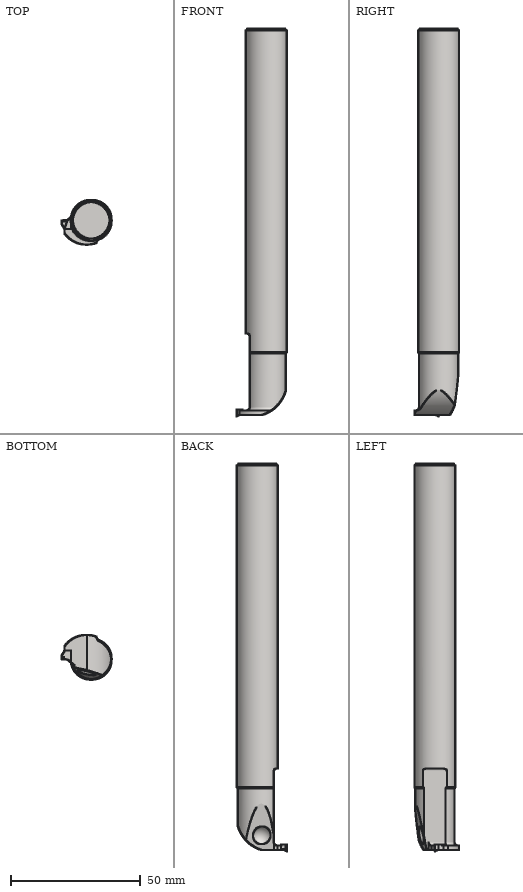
import cadquery as cq
import math

TOTAL_LENGTH = 150.0
SHANK_RADIUS = 8.0
END_CHAMFER = 0.9
NECK_RADIUS = 7.6
NECK_TOP = 24.3
NECK_CONE_HEIGHT = 0.6

FLAT_X = -6.5
FLAT_TOP = 31.0
RUNOUT_RADIUS = 0.9

HOLDER_BOTTOM = 0.5
FLANGE_TOP = 2.2
FLANGE_RADIUS = 10.5
FLANGE_CENTRE = (-1.8, 1.0)
FLANGE_SIDE_X = -10.4
NECK_FILLET = 1.2

BELLY_RADIUS = 13.8
BELLY_CENTRE = (-5.7, 13.6)

RELIEF_NORMAL = (-1.2, 5.5, -1.0)
RELIEF_POINT = (0.0, 4.5, 0.0)

SCOOP_RADIUS = 3.9
SCOOP_CENTRE = (-2.1, 6.9, 5.8)

TIP_X = -11.4
RAKE_END = (-9.2, 0.2)
GULLET_ANGLE = 40.0
INSERT_BACK_X = -7.8
INSERT_END_Y = -3.3
INSERT_SIDE_X = -10.4
TIP_LAND = 1.5
EDGE_TOP = 2.7
LAND_TOP = 2.5
CORNER_RELIEF = 0.9
BREAKER_RADIUS = 1.0
BREAKER_CENTRE = (-10.0, 0.6)
BREAKER_FLOOR = 0.9

FOOT_TOP = FLANGE_TOP + NECK_FILLET
GULLET_SLOPE = math.tan(math.radians(GULLET_ANGLE))
REACH = 6 * SHANK_RADIUS


def gullet_y(x):
    """Y of the flange wall behind the rake face."""
    return RAKE_END[1] + (x - RAKE_END[0]) * GULLET_SLOPE


def prism(points, bottom, top):
    """Upright prism over a polygon in XY."""
    return cq.Workplane("XY").workplane(offset=bottom).polyline(points).close().extrude(top - bottom)


def make_bar():
    """Shank, cone and neck turned about Z."""
    outline = [
        (0, HOLDER_BOTTOM),
        (NECK_RADIUS, HOLDER_BOTTOM),
        (NECK_RADIUS, NECK_TOP),
        (SHANK_RADIUS, NECK_TOP + NECK_CONE_HEIGHT),
        (SHANK_RADIUS, TOTAL_LENGTH - END_CHAMFER),
        (SHANK_RADIUS - END_CHAMFER, TOTAL_LENGTH),
        (0, TOTAL_LENGTH),
    ]
    return cq.Workplane("XZ").polyline(outline).close().revolve(360, (0, 0), (0, 1))


def make_flat_cutter():
    """Removes the -X side of the bar up to the level step."""
    profile = (
        cq.Workplane("XZ")
        .moveTo(FLAT_X, HOLDER_BOTTOM)
        .lineTo(FLAT_X, FLAT_TOP)
        .radiusArc((FLAT_X - RUNOUT_RADIUS, FLAT_TOP + RUNOUT_RADIUS), -RUNOUT_RADIUS)
        .lineTo(-REACH, FLAT_TOP + RUNOUT_RADIUS)
        .lineTo(-REACH, HOLDER_BOTTOM)
        .close()
    )
    return profile.extrude(REACH, both=True)


def make_foot():
    """Flange with the fillet that leads up into the neck."""
    disc = cq.Workplane("XY").workplane(offset=HOLDER_BOTTOM).circle(REACH).extrude(FLANGE_TOP - HOLDER_BOTTOM)
    stub = cq.Workplane("XY").workplane(offset=HOLDER_BOTTOM).circle(NECK_RADIUS)
    stub = stub.extrude(FOOT_TOP + NECK_FILLET - HOLDER_BOTTOM).cut(make_flat_cutter())
    filleted = disc.union(stub)
    foot_edges = cq.selectors.BoxSelector(
        (-SHANK_RADIUS, -SHANK_RADIUS, FLANGE_TOP - NECK_FILLET / 2),
        (SHANK_RADIUS, SHANK_RADIUS, FLANGE_TOP + NECK_FILLET / 2),
    )
    filleted = filleted.edges(foot_edges).fillet(NECK_FILLET)
    outline = cq.Workplane("XY").center(*FLANGE_CENTRE).circle(FLANGE_RADIUS).extrude(FOOT_TOP)
    side = prism(
        [(FLANGE_SIDE_X, -REACH), (FLANGE_SIDE_X, REACH), (-REACH, REACH), (-REACH, -REACH)], 0, FOOT_TOP
    )
    gullet = prism(
        [(-REACH, gullet_y(-REACH)), (0, gullet_y(0)), (0, REACH), (-REACH, REACH)], 0, FOOT_TOP
    )
    return filleted.intersect(outline).cut(side).cut(gullet)


def make_belly_cutter():
    """Removes the lower +X corner of the head, leaving a round underside."""
    x, z = BELLY_CENTRE
    corner = cq.Workplane("XZ").rect(REACH, z, centered=False).extrude(REACH, both=True)
    corner = corner.translate((x, 0, 0))
    drum = cq.Workplane("XZ").center(x, z).circle(BELLY_RADIUS).extrude(REACH, both=True)
    return corner.cut(drum)


def make_relief_cutter():
    """Everything on the neck and flange beyond the leaning face on the +Y side."""
    face = cq.Workplane(cq.Plane(origin=RELIEF_POINT, normal=RELIEF_NORMAL))
    head_space = cq.Workplane("XY").rect(2 * REACH, 2 * REACH).extrude(NECK_TOP)
    return face.rect(2 * REACH, 2 * REACH).extrude(REACH).intersect(head_space)


def make_scoop_cutter():
    """Ball-shaped chip scoop in the leaning face."""
    return cq.Workplane("XY").sphere(SCOOP_RADIUS).translate(SCOOP_CENTRE)


def make_insert():
    """Cutting insert: a plate level with the flange and a raised land at the cutting edge."""
    edge = (TIP_X, 0)
    flank = (TIP_X, -TIP_LAND)
    heel = (INSERT_SIDE_X, INSERT_END_Y)
    plate = prism(
        [edge, flank, heel, (INSERT_BACK_X, INSERT_END_Y), (INSERT_BACK_X, gullet_y(INSERT_BACK_X)), RAKE_END],
        HOLDER_BOTTOM,
        FLANGE_TOP,
    )
    land = prism([edge, flank, heel, RAKE_END], 0, EDGE_TOP)
    along_y = [
        (RAKE_END[1], 0),
        (0, 0),
        (-CORNER_RELIEF, HOLDER_BOTTOM),
        (INSERT_END_Y, HOLDER_BOTTOM),
        (INSERT_END_Y, LAND_TOP),
        (0, EDGE_TOP),
        (RAKE_END[1], EDGE_TOP),
    ]
    along_x = [
        (TIP_X, 0),
        (TIP_X + CORNER_RELIEF, HOLDER_BOTTOM),
        (0, HOLDER_BOTTOM),
        (0, EDGE_TOP),
        (TIP_X, EDGE_TOP),
    ]
    land = land.intersect(cq.Workplane("YZ").polyline(along_y).close().extrude(REACH, both=True))
    land = land.intersect(cq.Workplane("XZ").polyline(along_x).close().extrude(REACH, both=True))
    breaker = cq.Workplane("XY").workplane(offset=BREAKER_FLOOR).center(*BREAKER_CENTRE)
    return plate.union(land).cut(breaker.circle(BREAKER_RADIUS).extrude(EDGE_TOP))


def make_seat_cutter():
    """Open seat of the insert in the flange."""
    seat = [
        (INSERT_BACK_X, INSERT_END_Y),
        (INSERT_BACK_X, gullet_y(INSERT_BACK_X)),
        (-REACH, gullet_y(INSERT_BACK_X)),
        (-REACH, INSERT_END_Y),
    ]
    return prism(seat, 0, FLANGE_TOP)


def make_holder():
    """Turned bar with its foot, relieved on its sides and open for the insert."""
    holder = make_bar().cut(make_flat_cutter()).union(make_foot())
    for cutter in (make_belly_cutter(), make_relief_cutter(), make_scoop_cutter(), make_seat_cutter()):
        holder = holder.cut(cutter)
    return holder


holder = make_holder()
insert = make_insert()
result = cq.Compound.makeCompound([holder.solids().val(), insert.solids().val()])